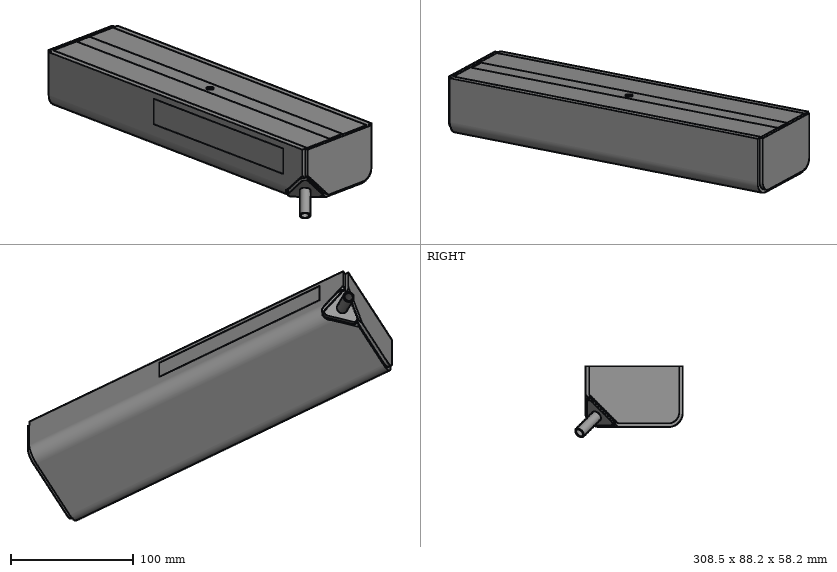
import cadquery as cq
import math

overall_length = 308.5
housing_length = 300.3
housing_width = 80.0
housing_height = 50.0
body_radius = 12.0

plate_thickness = 3.0
plate_inset = 3.0
plate_radius = 9.0
plate_corner_leg = 22.2

lip_width = 5.5
lid_depth = 0.15
channel_width = 14.8
channel_depth = 0.3
channel_end_gap = 1.2
hole_diameter = 4.5
hole_depth = 3.0
counterbore_diameter = 6.0
counterbore_depth = 1.0

label_length = 150.0
label_height = 22.5
label_start = 125.0
label_top_margin = 5.5
label_depth = 0.15

bevel_leg = 30.0
recess_depth = 3.0
recess_corner_radius = 7.5
cover_inset = 2.8
cover_corner_radius = 3.0
cover_height = 1.2
tube_outer_diameter = 9.0
tube_bore_diameter = 6.8

half_width = housing_width / 2
left_end = -housing_length / 2
right_end = housing_length / 2
body_left = left_end + plate_thickness
body_right = right_end - plate_thickness
body_length = body_right - body_left
plate_half_width = half_width - plate_inset
plate_height = housing_height - plate_inset

bevel_normal = cq.Vector(1, -1, -1).normalized()
axis_share = 1 / math.sqrt(3)
bevel_center = cq.Vector(
    right_end - bevel_leg / 3,
    -half_width + bevel_leg / 3,
    -housing_height + bevel_leg / 3,
)


def bevel_plane(offset=0.0):
    """Plane parallel to the bevel, moved outwards by offset, its X axis towards the upper tip."""
    return cq.Plane(
        origin=bevel_center + bevel_normal * offset,
        xDir=cq.Vector(1, -1, 2),
        normal=bevel_normal,
    )


def bevel_triangle(bottom, top, inset, corner_radius):
    """Rounded triangular block square to the bevel, its sides set in from the bevel's edges."""
    circumradius = bevel_leg * math.sqrt(2 / 3) - 2 * inset
    return (
        cq.Workplane(bevel_plane(bottom))
        .polygon(3, 2 * circumradius)
        .extrude(top - bottom)
        .edges(cq.selectors.ParallelDirSelector(bevel_normal))
        .fillet(corner_radius)
    )


def u_profile(start_x, length, half_span, height, radius):
    """Bar along X with a flat top and two rounded bottom edges."""
    return (
        cq.Workplane("YZ", origin=(start_x, 0, 0))
        .rect(2 * half_span, 2 * height)
        .extrude(length)
        .edges("|X and <Z")
        .fillet(radius)
        .intersect(
            cq.Workplane("YZ", origin=(start_x, 0, -height / 2))
            .rect(2 * half_span, height)
            .extrude(length)
        )
    )


def make_body():
    body = u_profile(body_left, body_length, half_width, housing_height, body_radius)

    lid = cq.Workplane("XY").rect(body_length, housing_width - 2 * lip_width).extrude(-lid_depth)
    channel_length = body_length - channel_end_gap
    channel = (
        cq.Workplane("XY")
        .center(-channel_end_gap / 2, 0)
        .rect(channel_length, channel_width)
        .extrude(-channel_depth)
    )
    hole = (
        cq.Workplane("XY")
        .circle(hole_diameter / 2)
        .extrude(-hole_depth)
        .union(cq.Workplane("XY").circle(counterbore_diameter / 2).extrude(-counterbore_depth))
    )

    label = cq.Workplane("XY").box(label_length, label_depth, label_height, centered=False)
    label = label.translate(
        (left_end + label_start, -half_width, -label_top_margin - label_height)
    )
    return body.cut(lid).cut(channel).cut(hole).cut(label)


def make_left_plate():
    return u_profile(left_end, plate_thickness, plate_half_width, plate_height, plate_radius)


def make_right_plate():
    """End plate with its corner under the bevel cut off and rounded."""
    return (
        cq.Workplane("YZ", origin=(body_right, 0, 0))
        .moveTo(-plate_half_width, 0)
        .lineTo(plate_half_width, 0)
        .lineTo(plate_half_width, -plate_height)
        .lineTo(-plate_half_width + plate_corner_leg, -plate_height)
        .lineTo(-plate_half_width, -plate_height + plate_corner_leg)
        .close()
        .extrude(plate_thickness)
        .edges("|X and (not >Z)")
        .fillet(plate_radius)
    )


def bevel_corner(body, right_plate):
    """Cut the corner off both parts, sink a recess into the body's bevel and fit the cover in it."""
    corner = cq.Workplane(bevel_plane()).rect(4 * bevel_leg, 4 * bevel_leg).extrude(2 * bevel_leg)
    recess = bevel_triangle(-recess_depth, bevel_leg, 0, recess_corner_radius)
    cover = bevel_triangle(-recess_depth, cover_height, cover_inset, cover_corner_radius)
    return body.cut(corner).cut(recess).union(right_plate.cut(corner)).union(cover)


def add_tube(housing):
    """Cable tube square to the bevel, open down to the cover and ending at the overall length."""
    rim_reach = tube_outer_diameter / 2 * math.sqrt(2 / 3)
    tip_x = left_end + overall_length
    tube_length = (tip_x - rim_reach - bevel_center.x) / axis_share
    tube = cq.Workplane(bevel_plane()).circle(tube_outer_diameter / 2).extrude(tube_length)
    bore = (
        cq.Workplane(bevel_plane(cover_height))
        .circle(tube_bore_diameter / 2)
        .extrude(tube_length - cover_height)
    )
    return housing.union(tube).cut(bore)


housing = bevel_corner(make_body(), make_right_plate()).union(make_left_plate())
result = add_tube(housing)